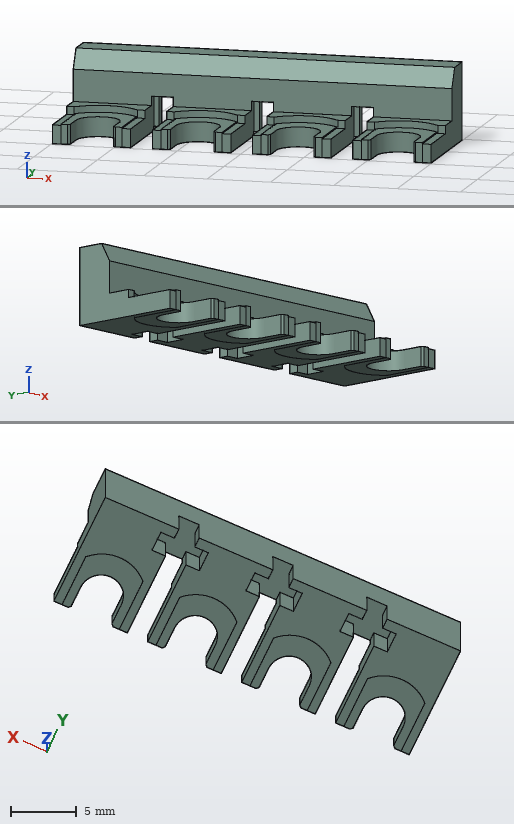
import cadquery as cq

LENGTH = 29.9
DEPTH = 9.35
HEIGHT = 6.1

BAR_DEPTH = 3.1
BEVEL_DEPTH = 0.85
BEVEL_HEIGHT = 1.5

STATION_COUNT = 4
STATION_WIDTH = 6.2
STATION_PITCH = (LENGTH - STATION_WIDTH) / (STATION_COUNT - 1)
NOTCH_HEIGHT = 2.8
PAD_FRONT = 5.08
PAD_HEIGHT = 2.1
RAIL_HEIGHT = 1.47

UNDERCUT_REACH = 1.15
UNDERCUT_FRONT = 2.42
UNDERCUT_REAR = 0.8

FORK_WIDTH = 4.8
FORK_HEIGHT = 1.55
FORK_REAR = 4.0
FORK_REAR_RADIUS = 3.32
SLOT_WIDTH = 3.4
SLOT_REAR = 5.75
TIP_CHAMFER = 0.18

RELIEF_MOUTH_WIDTH = 5.02
RELIEF_ARC_WIDTH = 4.65


def arc_rear(half_width):
    """Distance of the fork's rear arc from the rear face, at half_width from its middle."""
    drop = FORK_REAR_RADIUS - (FORK_REAR_RADIUS**2 - half_width**2) ** 0.5
    return FORK_REAR + drop


def station_center(index):
    return (index - (STATION_COUNT - 1) / 2) * STATION_PITCH


def fork_blank(center, height):
    """Solid fork outline without its slot: straight sides and an arched rear end."""
    half = FORK_WIDTH / 2
    return (
        cq.Workplane("XY")
        .moveTo(center - half, -DEPTH)
        .lineTo(center - half, -arc_rear(half))
        .threePointArc((center, -FORK_REAR), (center + half, -arc_rear(half)))
        .lineTo(center + half, -DEPTH)
        .close()
        .extrude(height)
    )


def pad_relief(center):
    """Opening in the pad above the fork, with its two front corners bevelled."""
    mouth = RELIEF_MOUTH_WIDTH / 2
    half = RELIEF_ARC_WIDTH / 2
    return (
        cq.Workplane("XY")
        .workplane(offset=FORK_HEIGHT)
        .moveTo(center - mouth, -PAD_FRONT)
        .lineTo(center - half, -arc_rear(half))
        .threePointArc((center, -FORK_REAR), (center + half, -arc_rear(half)))
        .lineTo(center + mouth, -PAD_FRONT)
        .close()
        .extrude(PAD_HEIGHT - FORK_HEIGHT)
    )


def make_housing():
    body = (
        cq.Workplane("YZ")
        .polyline(
            [
                (0, 0),
                (0, HEIGHT),
                (BEVEL_DEPTH - BAR_DEPTH, HEIGHT),
                (-BAR_DEPTH, HEIGHT - BEVEL_HEIGHT),
                (-BAR_DEPTH, PAD_HEIGHT),
                (-PAD_FRONT, PAD_HEIGHT),
                (-PAD_FRONT, RAIL_HEIGHT),
                (-DEPTH, RAIL_HEIGHT),
                (-DEPTH, 0),
            ]
        )
        .close()
        .extrude(LENGTH / 2, both=True)
    )

    notch_width = STATION_PITCH - STATION_WIDTH
    for index in range(STATION_COUNT - 1):
        notch_center = station_center(index) + STATION_PITCH / 2
        notch = cq.Workplane("XY").box(notch_width, DEPTH, NOTCH_HEIGHT, centered=(True, False, False))
        body = body.cut(notch.translate((notch_center, -DEPTH, 0)))
        undercut = cq.Workplane("XY").box(
            notch_width + 2 * UNDERCUT_REACH,
            UNDERCUT_FRONT - UNDERCUT_REAR,
            NOTCH_HEIGHT,
            centered=(True, False, False),
        )
        body = body.cut(undercut.translate((notch_center, -UNDERCUT_FRONT, 0)))

    for index in range(STATION_COUNT):
        center = station_center(index)
        body = body.cut(fork_blank(center, PAD_HEIGHT))
        body = body.cut(pad_relief(center))
    return body


def make_fork(center):
    slot_radius = SLOT_WIDTH / 2
    slot_center = SLOT_REAR + slot_radius
    slot = (
        cq.Workplane("XY")
        .moveTo(center - slot_radius, -DEPTH)
        .lineTo(center - slot_radius, -slot_center)
        .threePointArc((center, -SLOT_REAR), (center + slot_radius, -slot_center))
        .lineTo(center + slot_radius, -DEPTH)
        .close()
        .extrude(FORK_HEIGHT)
    )
    fork = fork_blank(center, FORK_HEIGHT).cut(slot)

    for side in (-1, 1):
        corner = cq.Vector(center + side * slot_radius, -DEPTH, FORK_HEIGHT / 2)
        fork = fork.edges(cq.selectors.NearestToPointSelector(corner.toTuple())).chamfer(TIP_CHAMFER)
    return fork


housing = make_housing()
forks = [make_fork(station_center(index)) for index in range(STATION_COUNT)]

result = cq.Compound.makeCompound([housing.val(), *[fork.val() for fork in forks]])